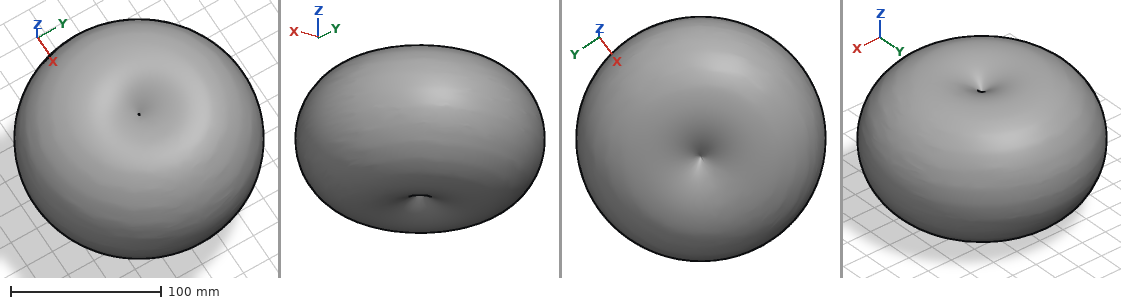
import cadquery as cq
import math

outer_diameter = 166.0
body_height = 100.0

section_radius = body_height / 2
outer_radius = outer_diameter / 2
section_centre_radius = outer_radius - section_radius

dimple_height = math.sqrt(section_radius**2 - section_centre_radius**2)


def make_dimpled_body():
    """Revolve the part of the section circle on one side of the Z axis."""
    profile = (
        cq.Workplane("XZ")
        .moveTo(0, -dimple_height)
        .threePointArc((outer_radius, 0), (0, dimple_height))
        .close()
    )
    return profile.revolve(360, (0, 0, 0), (0, 1, 0))


dimpled_body = make_dimpled_body()

result = cq.Compound.makeCompound([dimpled_body.val()])